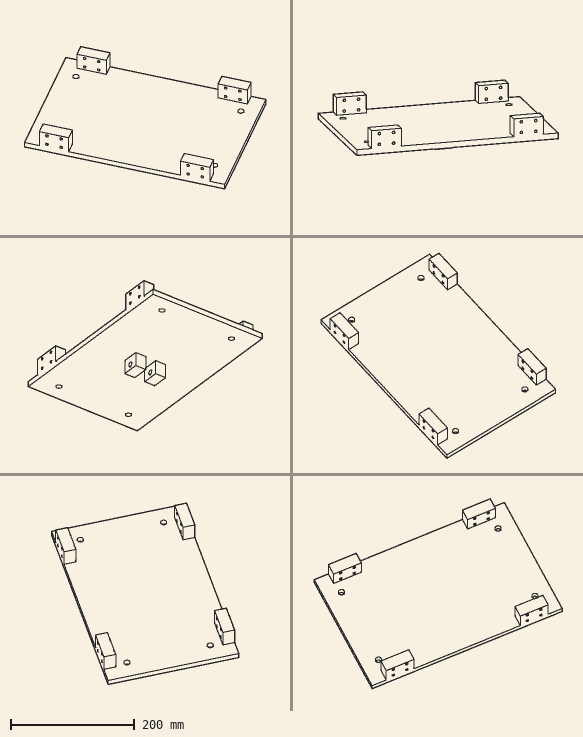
import cadquery as cq

plate_length = 340.0
plate_width = 220.0
plate_thickness = 10.0

block_length = 50.0
block_depth = 20.0
block_height = 30.0
block_end_inset = 25.0
block_hole_diameter = 4.0
block_hole_spacing_x = 24.0
block_hole_spacing_z = 18.0

plate_hole_diameter = 10.0
plate_hole_spacing_x = 280.0
plate_hole_spacing_y = 140.0

lug_length = 30.0
lug_depth = 20.0
lug_height = 25.0
lug_gap = 20.0
pin_hole_diameter = 8.0
pin_hole_drop = 15.0

block_center_x = plate_length / 2 - block_end_inset - block_length / 2
block_center_y = (plate_width - block_depth) / 2
block_center_z = plate_thickness + block_height / 2
lug_center_y = (lug_gap + lug_depth) / 2


def make_plate():
    plate = cq.Workplane("XY").box(
        plate_length, plate_width, plate_thickness, centered=(True, True, False)
    )
    return (
        plate.faces(">Z").workplane()
        .rarray(plate_hole_spacing_x, plate_hole_spacing_y, 2, 2)
        .hole(plate_hole_diameter)
    )


def make_block():
    """Block centred on the origin with a 2 x 2 pattern of through holes along Y."""
    block = cq.Workplane("XY").box(block_length, block_depth, block_height)
    return (
        block.faces("<Y").workplane(centerOption="CenterOfBoundBox")
        .rarray(block_hole_spacing_x, block_hole_spacing_z, 2, 2)
        .hole(block_hole_diameter)
    )


def make_lug():
    """Lug hanging below Z = 0 with its pin hole through the full depth."""
    lug = cq.Workplane("XY").box(lug_length, lug_depth, lug_height)
    lug = lug.translate((0, 0, -lug_height / 2))
    pin = (
        cq.Workplane("XZ").center(0, -pin_hole_drop)
        .circle(pin_hole_diameter / 2)
        .extrude(lug_depth, both=True)
    )
    return lug.cut(pin)


result = make_plate()
for side_y in (-1, 1):
    for side_x in (-1, 1):
        block_position = (side_x * block_center_x, side_y * block_center_y, block_center_z)
        result = result.union(make_block().translate(block_position))
    result = result.union(make_lug().translate((0, side_y * lug_center_y, 0)))